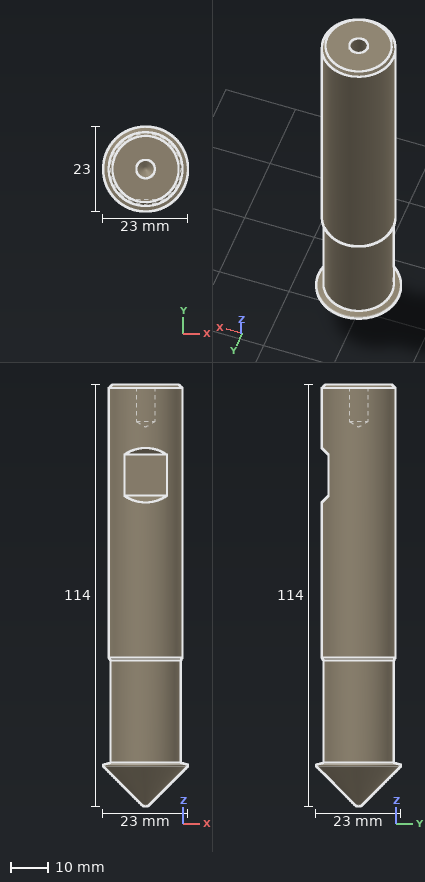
import cadquery as cq
import math

total_height = 114.0

shank_diameter = 20.0
shank_bottom = 39.5
end_chamfer_width = 1.0
end_chamfer_height = 1.0
step_chamfer_height = 0.8

neck_diameter = 19.0

head_diameter = 23.0
cone_angle = 45.0
rim_radius = 0.3
tip_radius = 1.4
back_slope = 15.0

flat_depth = 1.8
flat_height = 11.1
flat_centre_below_top = 24.5

hole_diameter = 5.0
hole_depth = 10.0
hole_tip_angle = 118.0


def rounding_point(centre, radius, degrees):
    """Point on a circle; degrees are counted from the outward radial direction."""
    angle = math.radians(degrees)
    return (centre[0] + radius * math.cos(angle), centre[1] + radius * math.sin(angle))


straight_down = -90
cone_normal = cone_angle - 90
back_normal = 90 - back_slope
cone_slope = math.radians(cone_angle)
tip_centre = (0, tip_radius)
rim_centre_radius = head_diameter / 2 - rim_radius
rim_centre_height = (
    tip_radius
    + rim_centre_radius * math.tan(cone_slope)
    - (tip_radius - rim_radius) / math.cos(cone_slope)
)
rim_centre = (rim_centre_radius, rim_centre_height)
rim_top = rounding_point(rim_centre, rim_radius, back_normal)
head_top = rim_top[1] + (rim_top[0] - neck_diameter / 2) * math.tan(math.radians(back_slope))


def make_shank():
    """Shank and neck turned in one piece, axis on Z."""
    shank_radius = shank_diameter / 2
    neck_radius = neck_diameter / 2
    profile = [
        (0, head_top),
        (neck_radius, head_top),
        (neck_radius, shank_bottom),
        (shank_radius, shank_bottom + step_chamfer_height),
        (shank_radius, total_height - end_chamfer_height),
        (shank_radius - end_chamfer_width, total_height),
        (0, total_height),
    ]
    body = cq.Workplane("XZ").polyline(profile).close().revolve(360, (0, 0), (0, 1))
    return body.cut(make_flat_cutter()).cut(make_centre_hole())


def make_flat_cutter():
    """Notch with a flat floor and 45 degree end ramps, crossing the -Y side."""
    floor_y = flat_depth - shank_diameter / 2
    outer_y = -shank_diameter / 2 - flat_depth
    centre_z = total_height - flat_centre_below_top
    floor_half = flat_height / 2
    mouth_half = floor_half + floor_y - outer_y
    profile = [
        (floor_y, centre_z - floor_half),
        (floor_y, centre_z + floor_half),
        (outer_y, centre_z + mouth_half),
        (outer_y, centre_z - mouth_half),
    ]
    return cq.Workplane("YZ").polyline(profile).close().extrude(shank_diameter / 2, both=True)


def make_centre_hole():
    """Drilled blind hole with a conical end."""
    radius = hole_diameter / 2
    shoulder_z = total_height - hole_depth
    tip_z = shoulder_z - radius / math.tan(math.radians(hole_tip_angle / 2))
    profile = [
        (0, tip_z),
        (radius, shoulder_z),
        (radius, total_height),
        (0, total_height),
    ]
    return cq.Workplane("XZ").polyline(profile).close().revolve(360, (0, 0), (0, 1))


def make_head():
    """Conical point with rounded tip and rim; its flat top carries the end of the neck."""
    return (
        cq.Workplane("XZ")
        .moveTo(0, 0)
        .threePointArc(
            rounding_point(tip_centre, tip_radius, (straight_down + cone_normal) / 2),
            rounding_point(tip_centre, tip_radius, cone_normal),
        )
        .lineTo(*rounding_point(rim_centre, rim_radius, cone_normal))
        .threePointArc(rounding_point(rim_centre, rim_radius, (cone_normal + back_normal) / 2), rim_top)
        .lineTo(neck_diameter / 2, head_top)
        .lineTo(0, head_top)
        .close()
        .revolve(360, (0, 0), (0, 1))
    )


shank = make_shank()
head = make_head()

result = cq.Compound.makeCompound([shank.val(), head.val()])